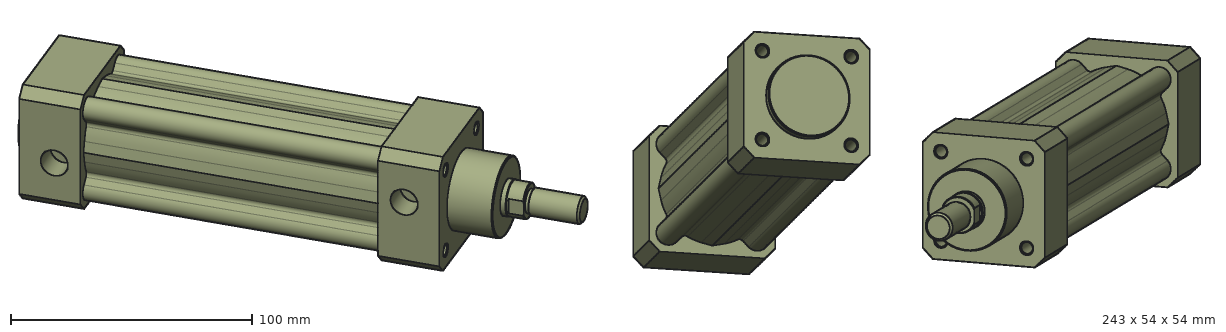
import cadquery as cq
import math


rear_boss_length = 4.0
cap_length = 27.0
tube_length = 131.0
front_boss_length = 20.0
rod_shoulder_reach = 10.0
thread_length = 24.0

rear_cap_start = rear_boss_length
tube_start = rear_cap_start + cap_length
tube_end = tube_start + tube_length
front_cap_end = tube_end + cap_length
front_boss_end = front_cap_end + front_boss_length
thread_start = front_boss_end + rod_shoulder_reach
rod_end = thread_start + thread_length

cap_width = 54.0
cap_corner_chamfer = 4.5
boss_diameter = 35.0
boss_chamfer = 0.5

screw_pitch = 38.0
screw_hole_diameter = 5.0
screw_hole_depth = 16.0
screw_hole_chamfer = 0.5

port_diameter = 12.0
port_depth = 12.0
port_inset = 15.5
port_offset = 5.0

barrel_radius = 22.5
lobe_radius = 5.0
lobe_fillet = 2.0
ridge_slope = math.radians(12.5)

rod_diameter = 16.0
rod_step_length = 0.3
rod_edge_chamfer = 0.3
wrench_diameter = 15.6
wrench_length = 7.4
flat_width = 14.0
flats_length = 6.6
thread_diameter = 12.0
thread_chamfer = 1.0
neck_diameter = 10.5
neck_length = 1.8
neck_taper = 0.4


def cylinder_along_x(start, end, diameter):
    return cq.Workplane("YZ", origin=(start, 0, 0)).circle(diameter / 2).extrude(end - start)


def cap_block(start):
    """Square block with chamfered long corners."""
    block = cq.Workplane("YZ", origin=(start, 0, 0)).rect(cap_width, cap_width).extrude(cap_length)
    return block.edges("|X").chamfer(cap_corner_chamfer)


def cut_screw_holes(cap, face_x, inward):
    """Cap with four countersunk blind holes from the face at face_x, running along the inward X sign."""
    radius = screw_hole_diameter / 2
    mouth_radius = radius + screw_hole_chamfer
    hole = (
        cq.Workplane("XY")
        .polyline([
            (0, 0),
            (0, mouth_radius),
            (inward * screw_hole_chamfer, radius),
            (inward * screw_hole_depth, radius),
            (inward * screw_hole_depth, 0),
        ])
        .close()
        .revolve(360, (0, 0, 0), (1, 0, 0))
    )
    half_pitch = screw_pitch / 2
    for y in (-half_pitch, half_pitch):
        for z in (-half_pitch, half_pitch):
            cap = cap.cut(hole.translate((face_x, y, z)))
    return cap


def port(x, z):
    """Blind air port going in from the -Y face."""
    plane = cq.Plane(origin=(x, -cap_width / 2, z), xDir=(1, 0, 0), normal=(0, 1, 0))
    return cq.Workplane(plane).circle(port_diameter / 2).extrude(port_depth)


def make_rear_cap():
    boss = cylinder_along_x(0, rear_cap_start, boss_diameter).faces("<X").chamfer(boss_chamfer)
    cap = cap_block(rear_cap_start).union(boss)
    cap = cut_screw_holes(cap, rear_cap_start, 1)
    return cap.cut(port(rear_cap_start + port_inset, -port_offset))


def make_front_cap():
    boss = cylinder_along_x(front_cap_end, front_boss_end, boss_diameter).faces(">X").chamfer(boss_chamfer)
    cap = cap_block(tube_end).union(boss)
    cap = cut_screw_holes(cap, front_cap_end, -1)
    cap = cap.cut(port(front_cap_end - port_inset, port_offset))
    return cap.cut(cylinder_along_x(tube_end, front_boss_end, rod_diameter))


def make_tube():
    """Barrel with a shallow ridge on each side and a rounded, filleted lobe on each diagonal."""
    section = cq.Workplane("YZ", origin=(tube_start, 0, 0))
    tube = section.circle(barrel_radius).extrude(tube_length)

    touch_along = barrel_radius * math.cos(ridge_slope)
    touch_across = barrel_radius * math.sin(ridge_slope)
    crest = barrel_radius / math.cos(ridge_slope)
    ridge = (
        section.polyline([(0, 0), (touch_along, -touch_across), (crest, 0), (touch_along, touch_across)])
        .close()
        .extrude(tube_length)
    )

    lobe_reach = screw_pitch / math.sqrt(2)
    fillet_across = lobe_radius + lobe_fillet
    fillet_along = math.sqrt((barrel_radius + lobe_fillet) ** 2 - fillet_across ** 2)
    to_barrel = barrel_radius / (barrel_radius + lobe_fillet)
    root_along = fillet_along * to_barrel
    root_across = fillet_across * to_barrel
    toward_rib = -math.pi / 2
    toward_axis = math.atan2(fillet_across, fillet_along) - math.pi
    middle_angle = (toward_rib + toward_axis) / 2
    middle_along = fillet_along + lobe_fillet * math.cos(middle_angle)
    middle_across = fillet_across + lobe_fillet * math.sin(middle_angle)
    lobe = (
        section.moveTo(0, 0)
        .lineTo(root_along, -root_across)
        .threePointArc((middle_along, -middle_across), (fillet_along, -lobe_radius))
        .lineTo(lobe_reach, -lobe_radius)
        .threePointArc((lobe_reach + lobe_radius, 0), (lobe_reach, lobe_radius))
        .lineTo(fillet_along, lobe_radius)
        .threePointArc((middle_along, middle_across), (root_along, root_across))
        .close()
        .extrude(tube_length)
    )

    for quarter in range(4):
        turn = 90 * quarter
        tube = tube.union(ridge.rotate((0, 0, 0), (1, 0, 0), turn))
        tube = tube.union(lobe.rotate((0, 0, 0), (1, 0, 0), turn + 45))
    return tube


def make_rod():
    """Rod filling the front cap bore, with a stepped wrench section, a thread relief and a thread."""
    step_height = (rod_diameter - wrench_diameter) / 2
    wrench_start = thread_start - wrench_length
    shaft = cylinder_along_x(tube_end, wrench_start, rod_diameter)
    wrench = cylinder_along_x(wrench_start, thread_start, wrench_diameter)
    wrench = wrench.faces(">X").chamfer(rod_edge_chamfer)
    rod = shaft.faces(">X").chamfer(rod_step_length, step_height).union(wrench)
    for side in (-1, 1):
        waste = cq.Workplane("XY").box(flats_length, rod_diameter, rod_diameter).translate(
            (thread_start - flats_length / 2, side * (flat_width + rod_diameter) / 2, 0)
        )
        rod = rod.cut(waste)
    stud_radius = thread_diameter / 2
    neck_radius = neck_diameter / 2
    neck_end = thread_start + neck_length
    stud = (
        cq.Workplane("XY")
        .polyline([
            (thread_start, 0),
            (thread_start, neck_radius),
            (neck_end - neck_taper, neck_radius),
            (neck_end, stud_radius),
            (rod_end - thread_chamfer, stud_radius),
            (rod_end, stud_radius - thread_chamfer),
            (rod_end, 0),
        ])
        .close()
        .revolve(360, (0, 0, 0), (1, 0, 0))
    )
    return rod.union(stud)


rear_cap = make_rear_cap()
tube = make_tube()
front_cap = make_front_cap()
rod = make_rod()

result = cq.Compound.makeCompound([rear_cap.val(), tube.val(), front_cap.val(), rod.val()])